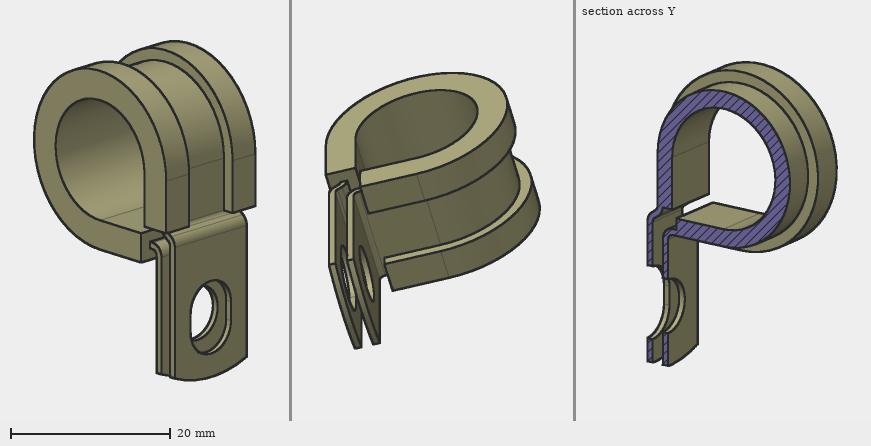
import cadquery as cq
import math


outer_radius = 11.805
bore_radius = 7.93
strap_thickness = 0.86
strap_outer_radius = 10.27
strap_inner_radius = strap_outer_radius - strap_thickness

upper_arm_drop = 6.92
lower_arm_reach = 7.33

cushion_width = 15.75
groove_width = 7.66
strap_width = 12.7
flange_width = (cushion_width - groove_width) / 2

overall_height = 39.51
leg_bottom = outer_radius - overall_height
leg_end_rise = 1.27
leg_corner = leg_bottom + leg_end_rise
leg_gap = 1.52
outer_leg_x = outer_radius
inner_leg_x = outer_leg_x - strap_thickness - leg_gap
hole_diameter = 7.1
hole_z = -19.78
slot_length = 9.6

bend_inside = 0.7
bend_outside = bend_inside + strap_thickness
offset_bend_angle = math.radians(55)
offset_bend_end = -9.12


def at_angle(center, radius, angle):
    """Point on a circle in XZ, angle counted from +X towards +Z."""
    return (center[0] + radius * math.cos(angle), center[1] + radius * math.sin(angle))


def xz_extrusion(profile, y_start, width):
    """Extrude a function-drawn XZ profile towards +Y from y_start."""
    plane = cq.Workplane("XZ", origin=(0, y_start, 0))
    return profile(plane).extrude(-width)


def horseshoe(radius, y_start, width):
    """Three-quarter ring with two straight arms, from the bore out to the given radius."""
    top_left = math.radians(135)
    origin = (0, 0)

    def profile(plane):
        return (
            plane.moveTo(radius, -upper_arm_drop)
            .lineTo(radius, 0)
            .threePointArc(at_angle(origin, radius, top_left), (0, -radius))
            .lineTo(lower_arm_reach, -radius)
            .lineTo(lower_arm_reach, -bore_radius)
            .lineTo(0, -bore_radius)
            .threePointArc(at_angle(origin, bore_radius, top_left), (bore_radius, 0))
            .lineTo(bore_radius, -upper_arm_drop)
            .close()
        )

    return xz_extrusion(profile, y_start, width)


def make_cushion():
    """Grooved middle out to the strap face, with a raised flange at each side."""
    half = cushion_width / 2
    cushion = horseshoe(strap_outer_radius, -groove_width / 2, groove_width)
    for y_start in (-half, half - flange_width):
        cushion = cushion.union(horseshoe(outer_radius, y_start, flange_width))
    return cushion


def inner_tail_profile(plane):
    """Strap leaving the lower arm and turning down through a quarter bend."""
    center = (inner_leg_x - bend_outside, -strap_outer_radius - bend_inside)
    middle = math.radians(45)
    return (
        plane.moveTo(0, -strap_inner_radius)
        .lineTo(center[0], -strap_inner_radius)
        .threePointArc(at_angle(center, bend_outside, middle), (inner_leg_x, center[1]))
        .lineTo(inner_leg_x, leg_bottom)
        .lineTo(inner_leg_x - strap_thickness, leg_bottom)
        .lineTo(inner_leg_x - strap_thickness, center[1])
        .threePointArc(at_angle(center, bend_inside, middle), (center[0], -strap_outer_radius))
        .lineTo(0, -strap_outer_radius)
        .close()
    )


def outer_tail_profile(plane):
    """Strap leaving the upper arm and stepping outwards through an offset bend."""
    turn = offset_bend_angle
    radius_sum = bend_inside + bend_outside
    sideways = outer_leg_x - strap_outer_radius
    slope_sideways = sideways - radius_sum * (1 - math.cos(turn))
    slope_drop = slope_sideways / math.tan(turn)
    bend_start = offset_bend_end + slope_drop + radius_sum * math.sin(turn)

    upper = (strap_outer_radius + bend_inside, bend_start)
    lower = (outer_leg_x - bend_outside, offset_bend_end)
    upper_angle = math.pi + turn
    upper_middle = math.pi + turn / 2
    return (
        plane.moveTo(strap_outer_radius, 0)
        .lineTo(strap_outer_radius, bend_start)
        .threePointArc(
            at_angle(upper, bend_inside, upper_middle),
            at_angle(upper, bend_inside, upper_angle),
        )
        .lineTo(*at_angle(lower, bend_outside, turn))
        .threePointArc(at_angle(lower, bend_outside, turn / 2), (outer_leg_x, offset_bend_end))
        .lineTo(outer_leg_x, leg_bottom)
        .lineTo(outer_leg_x - strap_thickness, leg_bottom)
        .lineTo(outer_leg_x - strap_thickness, offset_bend_end)
        .threePointArc(at_angle(lower, bend_inside, turn / 2), at_angle(lower, bend_inside, turn))
        .lineTo(*at_angle(upper, bend_outside, upper_angle))
        .threePointArc(at_angle(upper, bend_outside, upper_middle), (strap_inner_radius, bend_start))
        .lineTo(strap_inner_radius, 0)
        .close()
    )


def make_leg_blank():
    """Strap-wide block along X with the rounded lower end of the legs."""
    half = strap_width / 2
    return (
        cq.Workplane("YZ")
        .moveTo(-half, 0)
        .lineTo(-half, leg_corner)
        .threePointArc((0, leg_bottom), (half, leg_corner))
        .lineTo(half, 0)
        .close()
        .extrude(outer_radius)
    )


def make_screw_hole():
    """Cutter along X for the round hole of the inner leg."""
    return (
        cq.Workplane("YZ")
        .center(0, hole_z)
        .circle(hole_diameter / 2)
        .extrude(outer_radius)
    )


def make_screw_slot():
    """Cutter along X for the upright slot of the outer leg, as wide as the hole."""
    return (
        cq.Workplane("YZ")
        .center(0, hole_z)
        .slot2D(slot_length, hole_diameter, 90)
        .extrude(outer_radius)
    )


def make_tail(profile, cutter):
    """One strap tail, with its leg rounded at the end and cut for the screw."""
    tail = xz_extrusion(profile, -strap_width / 2, strap_width)
    return tail.intersect(make_leg_blank()).cut(cutter)


result = (
    make_cushion()
    .union(make_tail(inner_tail_profile, make_screw_hole()))
    .union(make_tail(outer_tail_profile, make_screw_slot()))
)